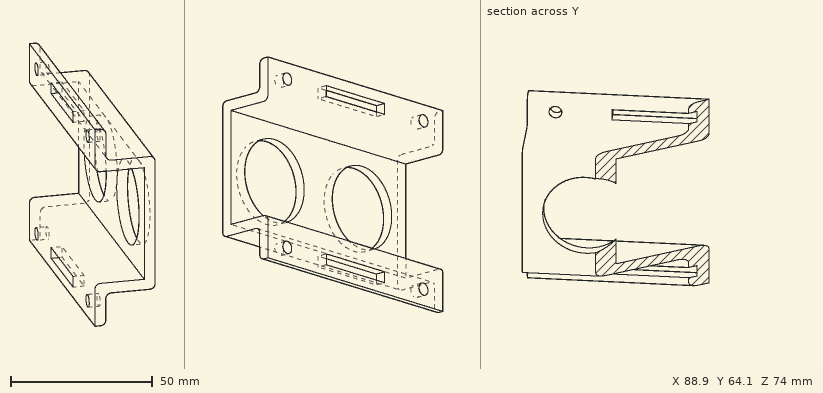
import cadquery as cq

length = 90.0
depth = 22.0
height = 74.0
wall = 4.0
flange_width = 12.0
bend_radius = 2.0
turn_angle = -30.0

bore_diameter = 30.5
bore_spacing = length / 2
hole_diameter = 4.5
hole_end_distance = 10.0
slot_length = 30.0
slot_height = 4.0
fixing_edge_distance = flange_width / 2

half_height = height / 2
channel_outer = half_height - flange_width
channel_inner = channel_outer - wall
fixing_z = half_height - fixing_edge_distance
hole_spacing = length - 2 * hole_end_distance


def make_hat_section():
    """Extrude the hat profile along X, centred on the origin in X and Z."""
    upper_half = [
        (depth, channel_outer),
        (wall, channel_outer),
        (wall, half_height),
        (0, half_height),
        (0, channel_inner),
        (depth - wall, channel_inner),
    ]
    lower_half = [(y, -z) for y, z in reversed(upper_half)]
    profile = cq.Workplane("YZ").polyline(upper_half + lower_half).close()
    return profile.extrude(length / 2, both=True)


def round_long_edges(body):
    """Round the lengthwise edges, except the front tips of the flanges and the channel's inner corners."""
    rounded_corners = [
        (depth, channel_outer),
        (wall, channel_outer),
        (wall, half_height),
        (0, channel_inner),
    ]
    edges = cq.Workplane("XY")
    for y, z in rounded_corners:
        for side in (1, -1):
            edges = edges.add(body.edges(cq.NearestToPointSelector((0, y, side * z))))
    return body.newObject(edges.vals()).fillet(bend_radius)


def face_plane():
    """Workplane on the flange faces; a negative extrusion runs into the channel."""
    return cq.Workplane("XZ")


def make_bores():
    """Two large bores through the channel floor."""
    return (
        face_plane()
        .rarray(bore_spacing, 1, 2, 1)
        .circle(bore_diameter / 2)
        .extrude(-depth)
    )


def make_flange_holes():
    """A round hole near both ends of each flange."""
    return (
        face_plane()
        .rarray(hole_spacing, 2 * fixing_z, 2, 2)
        .circle(hole_diameter / 2)
        .extrude(-wall)
    )


def make_flange_slots():
    """A rectangular slot in the middle of each flange."""
    return (
        face_plane()
        .rarray(1, 2 * fixing_z, 1, 2)
        .rect(slot_length, slot_height)
        .extrude(-wall)
    )


bracket = round_long_edges(make_hat_section())
bracket = bracket.cut(make_bores()).cut(make_flange_holes()).cut(make_flange_slots())
result = bracket.rotate((0, 0, 0), (0, 0, 1), turn_angle)